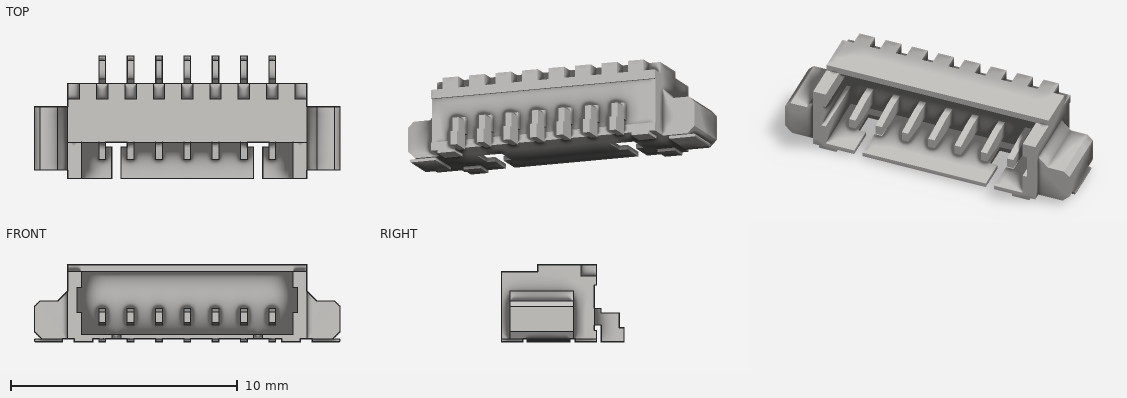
import cadquery as cq


PIN_COUNT = 7
PITCH = 1.25
PIN_WIDTH = 0.3

END_MARGIN = 1.525
HOUSING_LENGTH = (PIN_COUNT - 1) * PITCH + 2 * END_MARGIN
HOUSING_DEPTH = 4.2
HOUSING_BOTTOM = 0.13
HOUSING_TOP = 3.4
WALL_TOP = 3.1
ROOF_FRONT = 1.6
FLOOR_TOP = 0.33
SIDE_WALL = 0.6
BACK_WALL = 1.2
CAVITY_DEPTH = HOUSING_DEPTH - BACK_WALL
HALF_LENGTH = HOUSING_LENGTH / 2

GROOVE_DEPTH = 0.2
GROOVE_BOTTOM = 1.3
GROOVE_TOP = 2.4

REAR_RECESS_DEPTH = 0.1
REAR_RECESS_BOTTOM = 0.5
REAR_RECESS_TOP = 2.5

NOTCH_WIDTH = 0.5
CORNER_NOTCH_WIDTH = 0.53
NOTCH_LENGTH = 0.7
NOTCH_HEIGHT = 0.5

OPENING_X = (PIN_COUNT / 2 - 1) * PITCH
OPENING_STEM_WIDTH = 0.4
OPENING_HEAD_WIDTH = 1.13
OPENING_HEAD_FRONT = 1.4
OPENING_HEAD_BACK = 2.6

PAD_CENTER_X = 4.58
PAD_WIDTH = 0.82
PAD_DEPTH = 0.95

OVERALL_LENGTH = 13.5
WING_TIP_X = OVERALL_LENGTH / 2
WING_FRONT = 0.37
WING_DEPTH = 2.8
WING_TOP = 1.8
WING_CHAMFER = 0.25
WING_BOTTOM_CHAMFER = 0.32
WING_GUSSET = 0.45

PLATE_LENGTH = 1.24
PLATE_FRONT = 1.12
PLATE_DEPTH = 1.9
PLATE_EDGE_CHAMFER = 0.05

PIN_BOTTOM = 0.73
PIN_TOP = 1.47
PIN_TIP_Y = 0.85
PIN_TIP_BOTTOM = 0.86
PIN_TIP_TOP = 1.31
PIN_TAPER_Y = 2.25
TAIL_FRONT = 4.4
TAIL_SHOULDER_Y = 5.2
TAIL_END = 5.41
TAIL_TOP = 1.28
TAIL_FOOT_TOP = 0.62


def block(x_center, width, y_front, y_back, z_bottom, z_top):
    """Box centred on x_center and spanning the given Y and Z limits."""
    return cq.Workplane("XY").box(
        width, y_back - y_front, z_top - z_bottom, centered=(True, False, False)
    ).translate((x_center, y_front, z_bottom))


def pin_positions():
    return [(i - (PIN_COUNT - 1) / 2) * PITCH for i in range(PIN_COUNT)]


def both_ends(shape):
    """The shape together with its mirror image across the middle of the pin row."""
    return shape.union(shape.mirror("YZ"))


def make_shell():
    """Housing with its stepped roof, open cavity, guide grooves and rear recess."""
    shell = block(0, HOUSING_LENGTH, 0, HOUSING_DEPTH, HOUSING_BOTTOM, HOUSING_TOP)
    roof_step = block(0, HOUSING_LENGTH, 0, ROOF_FRONT, WALL_TOP, HOUSING_TOP)
    cavity_length = HOUSING_LENGTH - 2 * SIDE_WALL
    cavity = block(0, cavity_length, 0, CAVITY_DEPTH, FLOOR_TOP, WALL_TOP)
    grooves = block(0, cavity_length + 2 * GROOVE_DEPTH, 0, CAVITY_DEPTH, GROOVE_BOTTOM, GROOVE_TOP)
    rear_recess = block(
        0,
        HOUSING_LENGTH,
        HOUSING_DEPTH - REAR_RECESS_DEPTH,
        HOUSING_DEPTH,
        REAR_RECESS_BOTTOM,
        REAR_RECESS_TOP,
    )
    return shell.cut(roof_step).cut(cavity).cut(grooves).cut(rear_recess)


def make_top_notch(x_center, width):
    return block(
        x_center,
        width,
        HOUSING_DEPTH - NOTCH_LENGTH,
        HOUSING_DEPTH,
        HOUSING_TOP - NOTCH_HEIGHT,
        HOUSING_TOP,
    )


def cut_top_notches(housing):
    """One notch above each pin and one at each rear corner."""
    corner_x = HALF_LENGTH - CORNER_NOTCH_WIDTH / 2
    housing = housing.cut(both_ends(make_top_notch(corner_x, CORNER_NOTCH_WIDTH)))
    for x in pin_positions():
        housing = housing.cut(make_top_notch(x, NOTCH_WIDTH))
    return housing


def make_floor_opening():
    stem = block(OPENING_X, OPENING_STEM_WIDTH, 0, OPENING_HEAD_BACK, HOUSING_BOTTOM, FLOOR_TOP)
    head = block(
        OPENING_X,
        OPENING_HEAD_WIDTH,
        OPENING_HEAD_FRONT,
        OPENING_HEAD_BACK,
        HOUSING_BOTTOM,
        FLOOR_TOP,
    )
    return stem.union(head)


def make_pads():
    """Front and rear standoff pads at one end."""
    front = block(PAD_CENTER_X, PAD_WIDTH, 0, PAD_DEPTH, 0, HOUSING_BOTTOM)
    rear = block(PAD_CENTER_X, PAD_WIDTH, HOUSING_DEPTH - PAD_DEPTH, HOUSING_DEPTH, 0, HOUSING_BOTTOM)
    return front.union(rear)


def make_wing():
    """Chamfered wing at the +X end, with a sloped gusset against the housing wall."""
    outline = [
        (HALF_LENGTH, HOUSING_BOTTOM),
        (WING_TIP_X - WING_BOTTOM_CHAMFER, HOUSING_BOTTOM),
        (WING_TIP_X, HOUSING_BOTTOM + WING_BOTTOM_CHAMFER),
        (WING_TIP_X, WING_TOP - WING_CHAMFER),
        (WING_TIP_X - WING_CHAMFER, WING_TOP),
        (HALF_LENGTH + WING_GUSSET, WING_TOP),
        (HALF_LENGTH, WING_TOP + WING_GUSSET),
    ]
    wing = cq.Workplane("XZ").polyline(outline).close().extrude(-WING_DEPTH)
    return wing.translate((0, WING_FRONT, 0))


def make_solder_plate():
    """Thin plate under the wing at the +X end, with its outer edges broken."""
    plate = block(
        WING_TIP_X - PLATE_LENGTH / 2,
        PLATE_LENGTH,
        PLATE_FRONT,
        PLATE_FRONT + PLATE_DEPTH,
        0,
        HOUSING_BOTTOM,
    )
    return plate.faces(">X").edges("|Y").chamfer(PLATE_EDGE_CHAMFER)


def make_pin():
    """Flat stamped pin: tapered contact blade, straight shank and stepped solder tail."""
    outline = [
        (PIN_TIP_Y, PIN_TIP_BOTTOM),
        (PIN_TAPER_Y, PIN_BOTTOM),
        (TAIL_FRONT, PIN_BOTTOM),
        (TAIL_FRONT, 0),
        (TAIL_END, 0),
        (TAIL_END, TAIL_FOOT_TOP),
        (TAIL_SHOULDER_Y, TAIL_FOOT_TOP),
        (TAIL_SHOULDER_Y, TAIL_TOP),
        (TAIL_FRONT, TAIL_TOP),
        (TAIL_FRONT, PIN_TOP),
        (PIN_TAPER_Y, PIN_TOP),
        (PIN_TIP_Y, PIN_TIP_TOP),
    ]
    return cq.Workplane("YZ").polyline(outline).close().extrude(PIN_WIDTH / 2, both=True)


housing = cut_top_notches(make_shell())
housing = housing.cut(both_ends(make_floor_opening()))
housing = housing.union(both_ends(make_pads()))
housing = housing.union(both_ends(make_wing()))
housing = housing.union(both_ends(make_solder_plate()))

pin = make_pin()
for pin_x in pin_positions():
    housing = housing.union(pin.translate((pin_x, 0, 0)))

result = housing